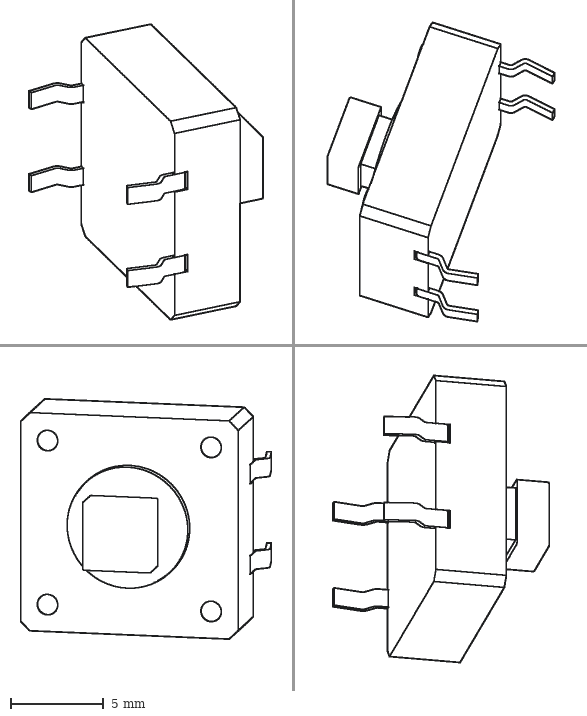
import cadquery as cq
import math


body_width = 12.0
body_depth = 3.9
corner_chamfer = 0.5

rivet_diameter = 1.11
rivet_height = 0.2
rivet_edge_radius = 0.16
rivet_offset = 4.51

collar_diameter = 6.65
collar_height = 0.5

neck_side = 3.02
neck_height = 1.0
head_side = 3.78
head_height = 1.8
head_edge_radius = 0.1

strip_width = 1.01
strip_thickness = 0.25
terminal_span = 13.26
terminal_offset = 2.5
terminal_insertion = 0.72
terminal_drop = 2.95
flare_angle = 50.0
leg_angle = -9.5
bend_inner_radius = 0.16
knee_centre_drop = 1.31
root_edge_radius = 0.23

slot_end_gap = 0.07
upper_slot_side_gap = 0.05

body_half = body_width / 2
bend_outer_radius = bend_inner_radius + strip_thickness
collar_top = body_depth + collar_height
neck_top = collar_top + neck_height


def plane_facing_button(height):
    """Workplane parallel to XZ at the given Y, with its normal along +Y."""
    return cq.Workplane(cq.Plane(origin=(0, height, 0), xDir=(1, 0, 0), normal=(0, 1, 0)))


def make_terminal_slot(side, level):
    """Cutter for the open-ended recess that takes one terminal."""
    length = terminal_insertion + slot_end_gap
    side_gap = upper_slot_side_gap if level > 0 else 0
    return cq.Workplane("XY").box(strip_thickness, length, strip_width + side_gap).translate(
        (side * (body_half - strip_thickness / 2), length / 2, level * terminal_offset - side_gap / 2)
    )


def make_housing():
    """Square block with chamfered corners, four rivet heads and four terminal slots."""
    block = plane_facing_button(0).rect(body_width, body_width).extrude(body_depth)
    block = block.edges("|Y").chamfer(corner_chamfer)
    rivets = (
        plane_facing_button(body_depth)
        .rect(2 * rivet_offset, 2 * rivet_offset, forConstruction=True)
        .vertices()
        .circle(rivet_diameter / 2)
        .extrude(rivet_height)
        .faces(">Y")
        .edges()
        .fillet(rivet_edge_radius)
    )
    block = block.union(rivets)
    for side in (-1, 1):
        for level in (-1, 1):
            block = block.cut(make_terminal_slot(side, level))
    return block


def make_collar():
    """Round disc on the button side of the housing."""
    return plane_facing_button(body_depth).circle(collar_diameter / 2).extrude(collar_height)


def make_button():
    """Square neck carrying a wider square head with softened edges."""
    neck = plane_facing_button(collar_top).rect(neck_side, neck_side).extrude(neck_height)
    head = plane_facing_button(neck_top).rect(head_side, head_side).extrude(head_height)
    head = head.edges("|Y or >Y").fillet(head_edge_radius)
    return neck.union(head)


def shift_inward(point, heading_in, heading_out):
    """Corner of the strip's inner side opposite an outer corner; headings are in degrees off -Y."""
    middle = math.radians((heading_in + heading_out) / 2)
    half_turn = math.radians((heading_out - heading_in) / 2)
    reach = strip_thickness / math.cos(half_turn)
    return (point[0] - reach * math.cos(middle), point[1] - reach * math.sin(middle))


def make_terminal(side, level):
    """One bent strip; it is shaped for the +X side and mirrored for the -X side."""
    flare = math.radians(flare_angle)
    leg = math.radians(leg_angle)
    knee_middle = (flare + leg) / 2
    knee_reach = bend_outer_radius / math.cos((flare - leg) / 2)

    root = (body_half, terminal_insertion)
    knee = (
        terminal_span / 2 - bend_outer_radius + knee_reach * math.cos(knee_middle),
        -knee_centre_drop + knee_reach * math.sin(knee_middle),
    )
    shoulder = (body_half, knee[1] + (knee[0] - body_half) / math.tan(flare))
    tip = (knee[0] + (knee[1] + terminal_drop) * math.tan(leg), -terminal_drop)

    inner_root = shift_inward(root, 0, 0)
    inner_shoulder = shift_inward(shoulder, 0, flare_angle)
    inner_knee = shift_inward(knee, flare_angle, leg_angle)
    inner_tip = shift_inward(tip, leg_angle, leg_angle)

    outline = [root, shoulder, knee, tip, inner_tip, inner_knee, inner_shoulder, inner_root]
    strip = cq.Workplane("XY").polyline(outline).close().extrude(strip_width / 2, both=True)
    rounded_corners = (
        (shoulder, bend_inner_radius),
        (inner_shoulder, bend_outer_radius),
        (knee, bend_outer_radius),
        (inner_knee, bend_inner_radius),
        (root, root_edge_radius),
    )
    for corner, radius in rounded_corners:
        strip = strip.edges(cq.NearestToPointSelector((*corner, 0))).fillet(radius)
    if side < 0:
        strip = strip.mirror("YZ")
    return strip.translate((0, 0, level * terminal_offset))


housing = make_housing()
collar = make_collar()
button = make_button()
terminals = [make_terminal(side, level) for side in (-1, 1) for level in (-1, 1)]

result = cq.Compound.makeCompound(
    [housing.val(), collar.val(), button.val(), *[terminal.val() for terminal in terminals]]
)